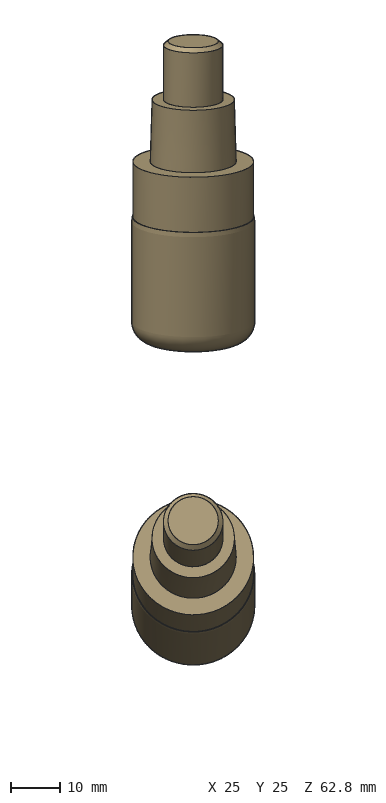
import cadquery as cq

total_height = 62.75

cap_radius = 12.5
cap_height = 26.0
cap_bottom_fillet = 4.0
cap_lip_height = 1.0
cap_lip_inset = 0.1

collar_radius = 12.25
collar_top = 37.5
shoulder_bottom_radius = 8.7
shoulder_top_radius = 8.35
shoulder_top = 50.5
tip_radius = 6.0
tip_chamfer_width = 0.95
tip_chamfer_height = 0.8


def revolve_about_z(half_profile):
    """Turn a closed XZ half profile a full circle about the Z axis."""
    return half_profile.close().revolve(360, (0, 0, 0), (0, 1, 0))


def make_cap():
    """Cylinder with a rounded bottom edge and a slightly tapered top lip."""
    half_profile = (
        cq.Workplane("XZ")
        .lineTo(cap_radius, 0)
        .lineTo(cap_radius, cap_height - cap_lip_height)
        .lineTo(cap_radius - cap_lip_inset, cap_height)
        .lineTo(0, cap_height)
    )
    return revolve_about_z(half_profile).faces("<Z").edges().fillet(cap_bottom_fillet)


def make_stud():
    """Collar, tapered shoulder and chamfered tip turned as one body."""
    half_profile = (
        cq.Workplane("XZ")
        .moveTo(0, cap_height)
        .lineTo(collar_radius, cap_height)
        .lineTo(collar_radius, collar_top)
        .lineTo(shoulder_bottom_radius, collar_top)
        .lineTo(shoulder_top_radius, shoulder_top)
        .lineTo(tip_radius, shoulder_top)
        .lineTo(tip_radius, total_height - tip_chamfer_height)
        .lineTo(tip_radius - tip_chamfer_width, total_height)
        .lineTo(0, total_height)
    )
    return revolve_about_z(half_profile)


cap = make_cap()
stud = make_stud()

result = cq.Compound.makeCompound([cap.val(), stud.val()])